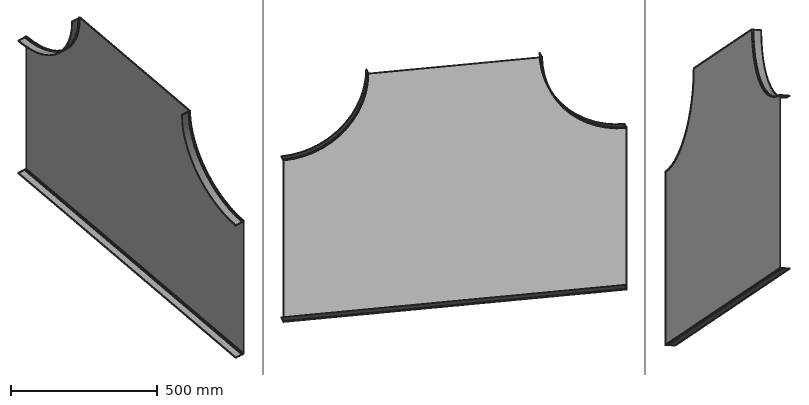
import cadquery as cq

sheet_thickness = 1.0
panel_width = 1200.0
panel_height = 904.5
notch_radius = 295.5
lip_depth = 7.0

flange_thickness = 1.0
flange_front = 35.0

half_width = panel_width / 2
lip_back_radius = notch_radius + sheet_thickness
flange_back_radius = lip_back_radius + flange_thickness
corner_sides = (-1, 1)


def full_width_bar(depth_from, depth_to, height_from, height_to):
    """Block over the whole width, between two depths in front of Y = 0 and two heights."""
    bar = cq.Workplane("XY").box(
        panel_width, depth_to - depth_from, height_to - height_from, centered=(True, False, False)
    )
    return bar.translate((0, -depth_to, height_from))


def corner_cylinder(side, radius, depth_from, depth_to):
    """Cylinder along Y, centred on the left (-1) or right (+1) upper corner of the panel."""
    return (
        cq.Workplane("XZ", origin=(side * half_width, -depth_from, panel_height))
        .circle(radius)
        .extrude(depth_to - depth_from)
    )


def corner_strip(side, inner_radius, outer_radius, depth_from, depth_to):
    """Quarter ring around one upper corner, kept inside the panel outline."""
    outer = corner_cylinder(side, outer_radius, depth_from, depth_to)
    inner = corner_cylinder(side, inner_radius, depth_from, depth_to)
    outline = full_width_bar(depth_from, depth_to, 0, panel_height)
    return outline.intersect(outer).cut(inner)


def make_panel():
    """Flat sheet with rounded notches, and lips folded forward at the lower edge and the notches."""
    panel = full_width_bar(0, sheet_thickness, 0, panel_height)
    panel = panel.union(full_width_bar(0, lip_depth, 0, sheet_thickness))
    for side in corner_sides:
        panel = panel.cut(corner_cylinder(side, notch_radius, 0, sheet_thickness))
        panel = panel.union(corner_strip(side, notch_radius, lip_back_radius, 0, lip_depth))
    return panel


def make_bottom_flange():
    """Straight strip lying on the bottom lip."""
    flange_top = sheet_thickness + flange_thickness
    return full_width_bar(sheet_thickness, flange_front, sheet_thickness, flange_top)


def make_corner_flange(side):
    """Quarter-round strip behind the lip of one notch."""
    return corner_strip(side, lip_back_radius, flange_back_radius, sheet_thickness, flange_front)


panel = make_panel()
bottom_flange = make_bottom_flange()
corner_flanges = [make_corner_flange(side) for side in corner_sides]

result = cq.Compound.makeCompound(
    [panel.val(), bottom_flange.val(), *[flange.val() for flange in corner_flanges]]
)